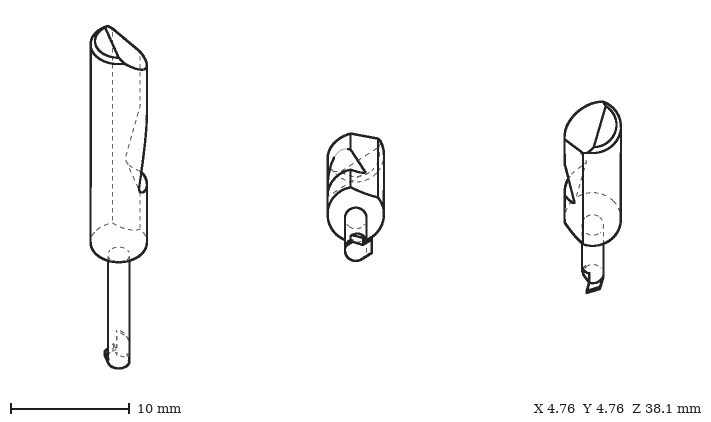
import cadquery as cq
import math

length = 38.1
shank_radius = 2.38
neck_radius = 0.9
shoulder_top = 14.17
top_chamfer = 0.4
shoulder_bottom = shoulder_top - (shank_radius - neck_radius)

flat_distance = 2.04
flat_tilt = 36.0

bevel_edge_y = -0.6
notch_bottom = 21.1
notch_top = 30.1
notch_depth = 1.25
notch_radius = 1.15

hook_reach = 1.68
cutting_face_y = 0.08
hook_height = 0.55
bottom_relief_angle = 2.0
hook_corner_x = -1.03
hook_back_y = 0.78

pocket_height = 2.82
pocket_round = 0.8
pocket_floor_x = -0.75
pocket_edge_x = -0.08


def make_body():
    profile = [
        (0, 0),
        (neck_radius, 0),
        (neck_radius, shoulder_bottom),
        (shank_radius, shoulder_top),
        (shank_radius, length - top_chamfer),
        (shank_radius - top_chamfer, length),
        (0, length),
    ]
    return cq.Workplane("XZ").polyline(profile).close().revolve(360, (0, 0), (0, 1))


def along_x(sketch):
    """Extrude a closed YZ outline through the full width of the shank."""
    return sketch.close().extrude(shank_radius, both=True)


def make_flat_cutter():
    return (
        cq.Workplane("XY")
        .box(shank_radius, 2 * shank_radius, length - shoulder_bottom, centered=(False, True, False))
        .translate((flat_distance, 0, shoulder_bottom))
        .rotate((0, 0, 0), (0, 0, 1), 180 - flat_tilt)
    )


def make_bevel_cutter():
    drop = shank_radius - bevel_edge_y
    outline = [(bevel_edge_y, length), (shank_radius, length - drop), (shank_radius, length)]
    return along_x(cq.Workplane("YZ").polyline(outline))


def make_notch_cutter():
    floor_y = shank_radius - notch_depth
    floor_z = notch_bottom + notch_radius
    arc_y = floor_y + notch_radius
    arc_z = floor_z
    diagonal = notch_radius * math.sqrt(0.5)
    return along_x(
        cq.Workplane("YZ")
        .moveTo(shank_radius, notch_top)
        .lineTo(floor_y, floor_z)
        .threePointArc((arc_y - diagonal, arc_z - diagonal), (arc_y, notch_bottom))
        .lineTo(shank_radius, notch_bottom)
    )


def make_hook():
    outline = [
        (0, cutting_face_y),
        (-hook_reach, cutting_face_y),
        (hook_corner_x, -neck_radius),
        (0, -neck_radius),
    ]
    return cq.Workplane("XY").polyline(outline).close().extrude(hook_height)


def make_pocket_cutter():
    """Wedge between the cutting face and a slanted wall, rounded at its upper +Y corner."""
    wedge = (
        cq.Workplane("XY")
        .polyline([
            (-shank_radius, cutting_face_y),
            (pocket_floor_x, cutting_face_y),
            (pocket_edge_x, neck_radius),
            (-shank_radius, neck_radius),
        ])
        .close()
        .extrude(pocket_height)
    )
    return wedge.edges("|X and >Y and >Z").fillet(pocket_round)


def make_back_relief():
    return (
        cq.Workplane("XY")
        .box(2 * neck_radius, neck_radius, hook_height, centered=(True, False, False))
        .translate((0, hook_back_y, 0))
    )


def make_bottom_relief():
    """Thin wedge that leaves the cutting corner as the lowest point."""
    rise = (hook_reach + neck_radius) * math.tan(math.radians(bottom_relief_angle))
    outline = [(-hook_reach, 0), (neck_radius, 0), (neck_radius, rise)]
    return cq.Workplane("XZ").polyline(outline).close().extrude(shank_radius, both=True)


result = (
    make_body()
    .cut(make_flat_cutter())
    .cut(make_bevel_cutter())
    .cut(make_notch_cutter())
    .union(make_hook())
    .cut(make_pocket_cutter())
    .cut(make_back_relief())
    .cut(make_bottom_relief())
)